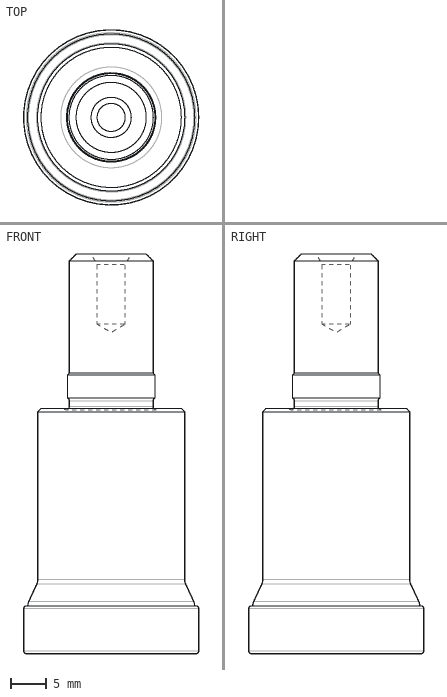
import cadquery as cq
import math

total_height = 57.0

foot_radius = 12.5
foot_height = 6.85
foot_edge_fillet = 0.4

barrel_radius = 10.5
barrel_top_z = 35.0
barrel_chamfer = 0.5
flare_radius = 11.92
flare_angle = math.radians(25)
flare_blend = 1.5

undercut_radius = 7.2
undercut_angle = math.radians(15)
undercut_fillet = 0.5

stud_radius = 6.0
stud_chamfer = 1.0
collar_radius = 6.25
collar_bottom_z = 36.5
collar_top_z = 40.0
collar_top_chamfer = collar_radius - stud_radius
neck_fillet = 0.5

hole_radius = 2.0
hole_depth = 10.0
hole_tip_angle = math.radians(118)
countersink_depth = 1.5
countersink_angle = math.radians(60)


def make_foot():
    """Plain disc with rounded rims."""
    disc = cq.Workplane("XY").circle(foot_radius).extrude(foot_height)
    return disc.faces("<Z or >Z").edges().fillet(foot_edge_fillet)


def arc_point(center, radius, angle):
    """Point on a circle in the radius-height plane."""
    return (center[0] + radius * math.cos(angle), center[1] + radius * math.sin(angle))


def revolve_profile(profile):
    """Turn a closed radius-height profile about the Z axis."""
    return profile.close().revolve(360, (0, 0, 0), (0, 1, 0))


def make_stud_body():
    """Flared barrel, undercut, neck, collar and stud turned as one piece."""
    low_center = (flare_radius - flare_blend, foot_height)
    low_mid = arc_point(low_center, flare_blend, flare_angle / 2)
    low_end = arc_point(low_center, flare_blend, flare_angle)

    blend_width = flare_blend * (1 - math.cos(flare_angle))
    slope_width = flare_radius - barrel_radius - 2 * blend_width
    slope_top_z = low_end[1] + slope_width / math.tan(flare_angle)
    high_center = (barrel_radius + flare_blend, slope_top_z + flare_blend * math.sin(flare_angle))
    high_start = arc_point(high_center, flare_blend, math.pi + flare_angle)
    high_mid = arc_point(high_center, flare_blend, math.pi + flare_angle / 2)
    high_end = arc_point(high_center, flare_blend, math.pi)

    root_start_radius = stud_radius + undercut_fillet * (1 - math.sin(undercut_angle))
    root_start_z = barrel_top_z - (undercut_radius - root_start_radius) * math.tan(undercut_angle)
    root_center = (
        stud_radius + undercut_fillet,
        root_start_z + undercut_fillet * math.cos(undercut_angle),
    )
    root_sweep = math.pi / 2 - undercut_angle
    root_start = (root_start_radius, root_start_z)
    root_mid = arc_point(root_center, undercut_fillet, math.pi + root_sweep / 2)
    root_end = arc_point(root_center, undercut_fillet, math.pi)

    neck_sweep = math.acos(1 - (collar_radius - stud_radius) / neck_fillet)
    neck_center = (
        stud_radius + neck_fillet,
        collar_bottom_z - neck_fillet * math.sin(neck_sweep),
    )
    neck_start = arc_point(neck_center, neck_fillet, math.pi)
    neck_mid = arc_point(neck_center, neck_fillet, math.pi - neck_sweep / 2)
    neck_end = (collar_radius, collar_bottom_z)

    profile = (
        cq.Workplane("XZ")
        .moveTo(0, foot_height)
        .lineTo(flare_radius, foot_height)
        .threePointArc(low_mid, low_end)
        .lineTo(*high_start)
        .threePointArc(high_mid, high_end)
        .lineTo(barrel_radius, barrel_top_z - barrel_chamfer)
        .lineTo(barrel_radius - barrel_chamfer, barrel_top_z)
        .lineTo(undercut_radius, barrel_top_z)
        .lineTo(*root_start)
        .threePointArc(root_mid, root_end)
        .lineTo(*neck_start)
        .threePointArc(neck_mid, neck_end)
        .lineTo(collar_radius, collar_top_z - collar_top_chamfer)
        .lineTo(stud_radius, collar_top_z)
        .lineTo(stud_radius, total_height - stud_chamfer)
        .lineTo(stud_radius - stud_chamfer, total_height)
        .lineTo(0, total_height)
    )
    return revolve_profile(profile)


def make_centre_hole():
    """Cutter: countersunk blind hole with a drill-point bottom."""
    countersink_radius = hole_radius + countersink_depth * math.tan(countersink_angle / 2)
    tip_height = hole_radius / math.tan(hole_tip_angle / 2)
    hole_bottom_z = total_height - hole_depth
    profile = (
        cq.Workplane("XZ")
        .moveTo(0, total_height)
        .lineTo(countersink_radius, total_height)
        .lineTo(hole_radius, total_height - countersink_depth)
        .lineTo(hole_radius, hole_bottom_z)
        .lineTo(0, hole_bottom_z - tip_height)
    )
    return revolve_profile(profile)


foot = make_foot()
stud_body = make_stud_body().cut(make_centre_hole())

result = cq.Compound.makeCompound([foot.val(), stud_body.val()])